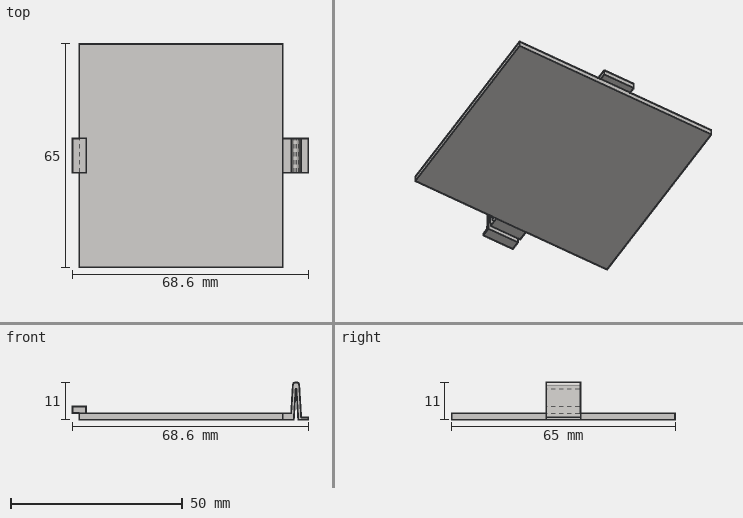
import cadquery as cq
import math

total_length = 68.6
total_height = 11.0

plate_width = 65.0
plate_thickness = 2.0
tab_overhang = 2.0
tab_length = 2 * tab_overhang
tab_height = 2.0
clip_length = 7.4
plate_length = total_length - tab_overhang - clip_length

strip_width = 10.0
fold_center = 3.85
fold_radius = 0.95
leg_lean = math.radians(3.5)
slot_half_top = 0.1
slot_height = 9.05
foot_thickness = 0.75
crest_center_height = total_height - fold_radius


def make_cover():
    """Flat plate with a tab on its top face, overhanging the -X edge."""
    plate = cq.Workplane("XY").box(
        plate_length, plate_width, plate_thickness, centered=(False, True, False)
    )
    tab = (
        cq.Workplane("XY")
        .box(tab_length, strip_width, tab_height, centered=(False, True, False))
        .translate((-tab_overhang, 0, plate_thickness))
    )
    return plate.union(tab)


def leg_half_width(height):
    """Half width over both legs, whose outer faces run tangent to the crest."""
    drop = crest_center_height - height
    return fold_radius / math.cos(leg_lean) + drop * math.tan(leg_lean)


def make_clip():
    """Folded spring strip that butts against the +X edge of the plate."""
    tangent_half_width = fold_radius * math.cos(leg_lean)
    tangent_height = crest_center_height + fold_radius * math.sin(leg_lean)
    slot_half_base = slot_half_top + slot_height * math.tan(leg_lean)
    profile = (
        cq.Workplane("XZ")
        .moveTo(0, 0)
        .lineTo(0, plate_thickness)
        .lineTo(fold_center - leg_half_width(plate_thickness), plate_thickness)
        .lineTo(fold_center - tangent_half_width, tangent_height)
        .threePointArc(
            (fold_center, total_height),
            (fold_center + tangent_half_width, tangent_height),
        )
        .lineTo(fold_center + leg_half_width(foot_thickness), foot_thickness)
        .lineTo(clip_length, foot_thickness)
        .lineTo(clip_length, 0)
        .lineTo(fold_center + slot_half_base, 0)
        .lineTo(fold_center + slot_half_top, slot_height)
        .lineTo(fold_center - slot_half_top, slot_height)
        .lineTo(fold_center - slot_half_base, 0)
        .close()
    )
    return profile.extrude(strip_width / 2, both=True).translate((plate_length, 0, 0))


cover = make_cover()
clip = make_clip()

result = cq.Compound.makeCompound([cover.val(), clip.val()])